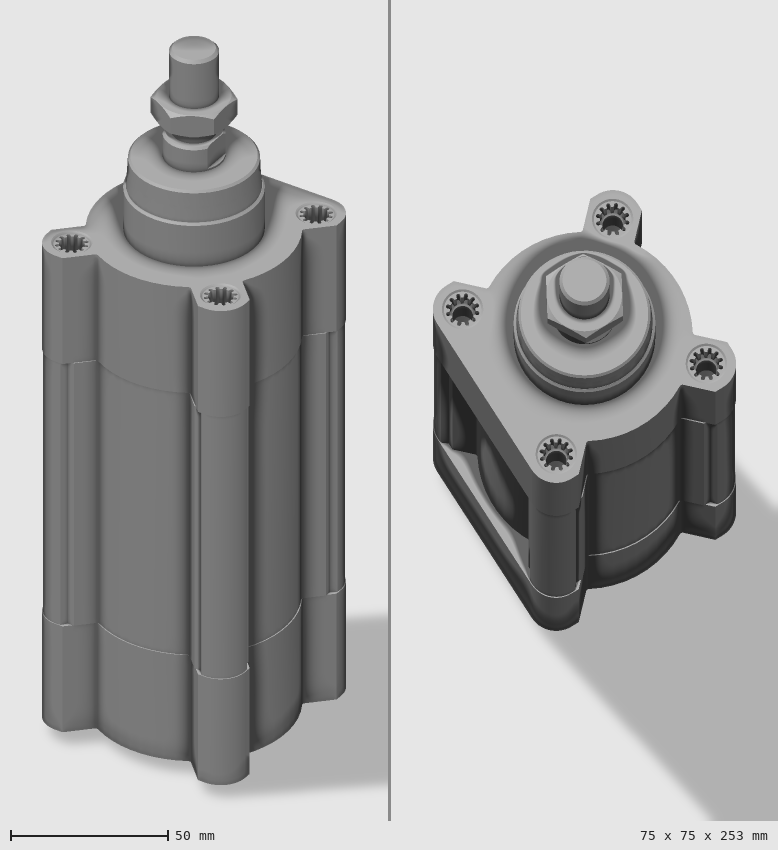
import cadquery as cq
import math

total_height = 253.0
cap_length = 40.2
lower_cap_bottom = 4.5
lower_cap_top = lower_cap_bottom + cap_length
upper_cap_top = 184.8
upper_cap_bottom = upper_cap_top - cap_length
collar_step = 201.0
collar_top = 212.4
rod_shoulder = 221.5
neck_top = 223.7
nut_bottom = 227.0
nut_height = 8.0

cap_half_width = 37.5
cap_corner_radius = 9.0
cap_flat_end = 25.5
cap_round_diameter = 68.8
barrel_ear_centre = 28.0
barrel_ear_radius = 9.0
barrel_ear_reach = 12.5
barrel_round_diameter = 68.0
notch_outer = 26.5
notch_foot = 25.0
notch_level = 35.2
root_fillet = 1.0

collar_diameter = 45.0
bearing_base_diameter = 43.3
bearing_top_diameter = 42.0
edge_chamfer = 0.8

screw_position = 28.0
screw_hole_diameter = 13.2
screw_head_diameter = 12.0
screw_recess = 0.5
socket_diameter = 8.0
socket_tip_diameter = 11.0
spline_width = 1.3
spline_count = 12
socket_depth = 7.5
core_diameter = 6.5
core_depth = 20.2
core_tip_height = 2.0

rod_diameter = 20.0
rod_across_flats = 17.0
flats_bottom = 213.0
neck_diameter = 14.5
runout_top_diameter = 15.5
runout_bottom_diameter = 13.7
thread_diameter = 16.0
tip_chamfer = 1.0
nut_across_flats = 24.0
nut_face_diameter = 23.8
nut_chamfer_angle = 30.0


def corner_arc_middle(centre, radius):
    """Coordinate of the middle of a corner arc, the same along X and Y."""
    return centre + radius * math.sqrt(0.5)


def cap(bottom):
    """End cap: round body, four ears with 45 degree flanks, and a flat +Y side."""
    w = cap_half_width
    centre = w - cap_corner_radius
    middle = corner_arc_middle(centre, cap_corner_radius)
    reach = w - cap_flat_end
    body = cq.Workplane("XY").circle(cap_round_diameter / 2).extrude(cap_length)
    for turn in range(4):
        ear = (
            cq.Workplane("XY")
            .moveTo(reach, 0)
            .lineTo(w, cap_flat_end)
            .lineTo(w, centre)
            .threePointArc((middle, middle), (centre, w))
            .lineTo(cap_flat_end, w)
            .lineTo(0, reach)
            .close()
            .extrude(cap_length)
        )
        body = body.union(ear.rotate((0, 0, 0), (0, 0, 1), 90 * turn))
    body = fillet_roots(body, cap_round_diameter, reach)
    flat_side = cq.Workplane("XY").center(0, w / 2).rect(2 * centre, w).extrude(cap_length)
    return body.union(flat_side).translate((0, 0, bottom))


def fillet_roots(body, round_diameter, reach):
    """Round the eight inner corners where the ear flanks meet the round body."""
    x = (reach + math.sqrt(round_diameter**2 / 2 - reach**2)) / 2
    y = x - reach
    margin = 0.3
    tall = 2 * total_height
    for corner_x, corner_y in ((x, y), (y, x)):
        for side_x in (-corner_x, corner_x):
            for side_y in (-corner_y, corner_y):
                near = cq.selectors.BoxSelector(
                    (side_x - margin, side_y - margin, -tall),
                    (side_x + margin, side_y + margin, tall),
                )
                body = body.edges("|Z").edges(near).fillet(root_fillet)
    return body


def barrel():
    """Barrel profile: like the caps but slightly smaller, with a notch beside each ear."""
    length = upper_cap_bottom - lower_cap_top
    middle = corner_arc_middle(barrel_ear_centre, barrel_ear_radius)
    arc_end = barrel_ear_centre + math.sqrt(barrel_ear_radius**2 - (barrel_ear_centre - notch_outer) ** 2)
    flank_end = notch_level - barrel_ear_reach
    body = cq.Workplane("XY").circle(barrel_round_diameter / 2).extrude(length)
    for turn in range(4):
        ear = (
            cq.Workplane("XY")
            .moveTo(barrel_ear_reach, 0)
            .lineTo(notch_level, flank_end)
            .lineTo(notch_level, notch_foot)
            .lineTo(arc_end, notch_outer)
            .threePointArc((middle, middle), (notch_outer, arc_end))
            .lineTo(notch_foot, notch_level)
            .lineTo(flank_end, notch_level)
            .lineTo(0, barrel_ear_reach)
            .close()
            .extrude(length)
        )
        body = body.union(ear.rotate((0, 0, 0), (0, 0, 1), 90 * turn))
    body = fillet_roots(body, barrel_round_diameter, barrel_ear_reach)
    return body.translate((0, 0, lower_cap_top))


def end_collars():
    """Centring collar and tapered bearing on top, short centring collar below."""
    r = collar_diameter / 2
    upper = (
        cq.Workplane("XZ")
        .moveTo(0, upper_cap_top)
        .lineTo(r, upper_cap_top)
        .lineTo(r, collar_step - edge_chamfer)
        .lineTo(r - edge_chamfer, collar_step)
        .lineTo(bearing_base_diameter / 2, collar_step)
        .lineTo(bearing_top_diameter / 2, collar_top - edge_chamfer)
        .lineTo(bearing_top_diameter / 2 - edge_chamfer, collar_top)
        .lineTo(0, collar_top)
        .close()
        .revolve(360, (0, 0, 0), (0, 1, 0))
    )
    lower = cq.Workplane("XY").circle(r).extrude(lower_cap_bottom).faces("<Z").chamfer(edge_chamfer)
    return upper.union(lower)


def screw_pocket():
    """Material removed around and inside one screw head, with the cap face at Z = 0."""
    hole_r = screw_hole_diameter / 2
    head_r = screw_head_diameter / 2
    socket_r = socket_diameter / 2
    tip_r = socket_tip_diameter / 2
    core_r = core_diameter / 2
    socket_bottom = -screw_recess - socket_depth
    turned = (
        cq.Workplane("XZ")
        .moveTo(0, 0)
        .lineTo(hole_r, 0)
        .lineTo(head_r, -screw_recess)
        .lineTo(socket_r, -screw_recess)
        .lineTo(socket_r, socket_bottom)
        .lineTo(core_r, socket_bottom)
        .lineTo(core_r, -core_depth)
        .lineTo(0, -core_depth - core_tip_height)
        .close()
        .revolve(360, (0, 0, 0), (0, 1, 0))
    )
    spline_length = tip_r - core_r
    splines = (
        cq.Workplane("XY")
        .polarArray(tip_r - spline_length / 2, 180 / spline_count, 360, spline_count)
        .slot2D(spline_length, spline_width)
        .extrude(socket_bottom)
    )
    return turned.union(splines)


def make_housing():
    housing = barrel().union(cap(lower_cap_bottom)).union(cap(upper_cap_bottom)).union(end_collars())
    for x in (-screw_position, screw_position):
        for y in (-screw_position, screw_position):
            housing = housing.cut(screw_pocket().translate((x, y, upper_cap_top)))
    return housing


def make_rod():
    """Piston rod end standing on the bearing: wrench flats, waisted neck and thread."""
    r = rod_diameter / 2
    thread_r = thread_diameter / 2
    neck_r = neck_diameter / 2
    rod = (
        cq.Workplane("XZ")
        .moveTo(0, collar_top)
        .lineTo(r, collar_top)
        .lineTo(r, rod_shoulder - edge_chamfer)
        .lineTo(r - edge_chamfer, rod_shoulder)
        .lineTo(neck_r, rod_shoulder)
        .lineTo(neck_r, neck_top)
        .lineTo(runout_bottom_diameter / 2, neck_top)
        .lineTo(runout_top_diameter / 2, nut_bottom)
        .lineTo(thread_r, nut_bottom)
        .lineTo(thread_r, total_height - tip_chamfer)
        .lineTo(thread_r - tip_chamfer, total_height)
        .lineTo(0, total_height)
        .close()
        .revolve(360, (0, 0, 0), (0, 1, 0))
    )
    flat_height = rod_shoulder - flats_bottom
    for side in (-1, 1):
        flat = (
            cq.Workplane("XY", origin=(side * (rod_across_flats + rod_diameter) / 2, 0, flats_bottom))
            .rect(rod_diameter, 2 * rod_diameter)
            .extrude(flat_height)
        )
        rod = rod.cut(flat)
    return rod


def make_nut():
    """Hexagon nut with flats facing X, its corners chamfered on both faces."""
    corner_r = nut_across_flats / 2 / math.cos(math.pi / 6)
    face_r = nut_face_diameter / 2
    drop = (corner_r - face_r) * math.tan(math.radians(nut_chamfer_angle))
    envelope = (
        cq.Workplane("XZ")
        .moveTo(0, 0)
        .lineTo(face_r, 0)
        .lineTo(corner_r, drop)
        .lineTo(corner_r, nut_height - drop)
        .lineTo(face_r, nut_height)
        .lineTo(0, nut_height)
        .close()
        .revolve(360, (0, 0, 0), (0, 1, 0))
    )
    hexagon = (
        cq.Workplane("XY").polygon(6, 2 * corner_r).extrude(nut_height).rotate((0, 0, 0), (0, 0, 1), 30)
    )
    bore = cq.Workplane("XY").circle(thread_diameter / 2).extrude(nut_height)
    return hexagon.intersect(envelope).cut(bore).translate((0, 0, nut_bottom))


housing = make_housing()
rod = make_rod()
nut = make_nut()

result = cq.Compound.makeCompound([housing.val(), rod.val(), nut.val()])